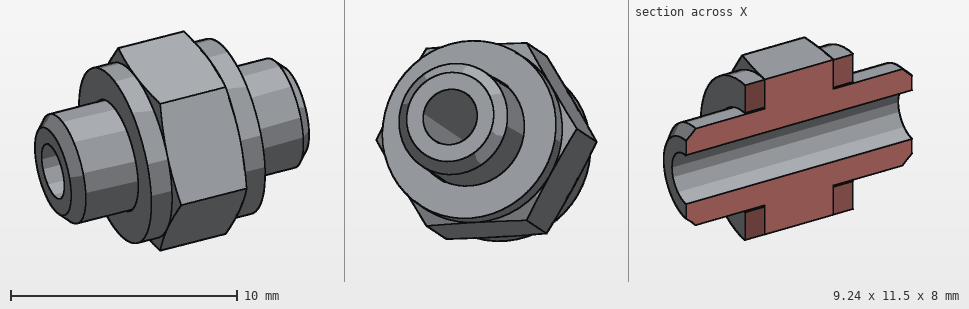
import cadquery as cq
import math

total_length = 11.5
across_flats = 8.0
hex_length = 3.5
hex_chamfer_angle = 15.0
spigot_diameter = 5.0
spigot_chamfer = 0.5
bore_diameter = 2.5
washer_outer_diameter = across_flats
washer_inner_diameter = 5.1
washer_thickness = 1.0

across_corners = across_flats / math.cos(math.radians(30))


def along_y(diameter, length):
    """Cylinder along Y, centred on the origin."""
    return cq.Workplane("XZ", origin=(0, length / 2, 0)).circle(diameter / 2).extrude(length)


def make_hexagon():
    """Hexagon with corners on X, its corners bevelled by a cone at each end."""
    prism = cq.Workplane("XZ", origin=(0, hex_length / 2, 0)).polygon(6, across_corners).extrude(hex_length)
    face_radius = across_flats / 2
    rim_radius = across_corners / 2
    half_length = hex_length / 2
    bevel_drop = (rim_radius - face_radius) * math.tan(math.radians(hex_chamfer_angle))
    envelope = (
        cq.Workplane("XY")
        .moveTo(0, -half_length)
        .lineTo(face_radius, -half_length)
        .lineTo(rim_radius, bevel_drop - half_length)
        .lineTo(rim_radius, half_length - bevel_drop)
        .lineTo(face_radius, half_length)
        .lineTo(0, half_length)
        .close()
        .revolve(360, (0, 0, 0), (0, 1, 0))
    )
    return prism.intersect(envelope)


def make_fitting():
    """Hexagon with a chamfered spigot at each end and a through bore."""
    spigots = along_y(spigot_diameter, total_length).faces("<Y or >Y").chamfer(spigot_chamfer)
    bore = along_y(bore_diameter, total_length)
    return make_hexagon().union(spigots).cut(bore)


def make_washer(side):
    """Flat ring against the hexagon end face on the given side of Y (-1 or +1)."""
    centre_y = side * (hex_length + washer_thickness) / 2
    ring = along_y(washer_outer_diameter, washer_thickness)
    hole = along_y(washer_inner_diameter, washer_thickness)
    return ring.cut(hole).translate((0, centre_y, 0))


fitting = make_fitting()
washers = [make_washer(side) for side in (-1, 1)]

result = cq.Compound.makeCompound([fitting.val(), *[washer.val() for washer in washers]])